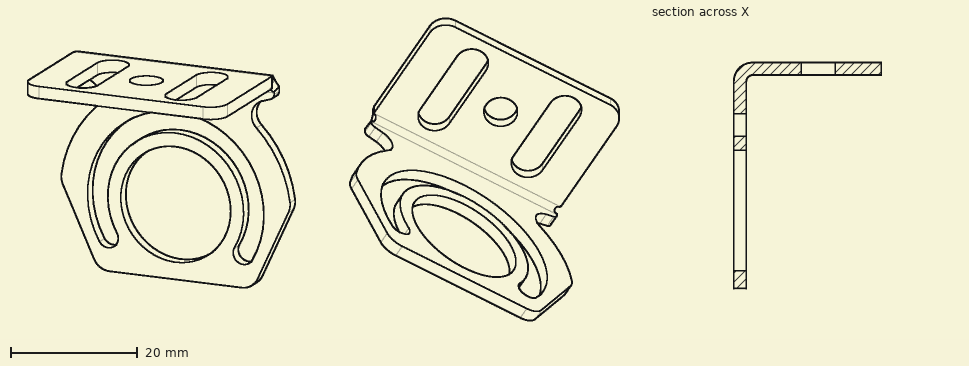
import cadquery as cq
import math

thickness = 2.0
inner_bend_radius = 1.0
outer_bend_radius = inner_bend_radius + thickness
bend_width = 34.1
overall_height = 35.75
overall_depth = 23.3
bottom_z = -12.35
top_z = bottom_z + overall_height
bend_z = top_z - outer_bend_radius
bend_y = -outer_bend_radius

flange_width = 34.3
flange_corner_radius = 2.93
flange_slot_spacing = 17.1
flange_slot_length = 16.75
flange_slot_width = 5.25
flange_slot_y = -13.1
flange_hole_diameter = 5.3
flange_hole_y = -13.4

plate_radius = 19.95
bottom_corner_x = 13.35
side_corner_angle = 5.1
plate_corner_radius = 3.0
notch_radius = 2.7
notch_angle = 45.7
shoulder_slope = 18
shoulder_corner_radius = 1.0

bore_diameter = 19
arc_slot_radius = 13.5
arc_slot_width = 3.5
arc_slot_end_angle = -30

relief_depth = 0.6
relief_half_angle = 35
relief_near = 0.2
relief_far = 3.95
relief_clearance = 0.8


def polar(radius, degrees, center=(0, 0)):
    """Point at a radius and an angle from a center."""
    angle = math.radians(degrees)
    return center[0] + radius * math.cos(angle), center[1] + radius * math.sin(angle)


def mirrored(point):
    return -point[0], point[1]


def plate_prism(outline):
    """Extrude an XZ outline forward from the rear face by the sheet thickness."""
    return outline.extrude(thickness)


def upright_plate():
    half_width = bend_width / 2
    bottom = (bottom_corner_x, bottom_z)
    side = polar(plate_radius, side_corner_angle)
    rim_middle = polar(plate_radius, (side_corner_angle + notch_angle) / 2)
    rim_end = polar(plate_radius, notch_angle)

    notch_center = polar(plate_radius + notch_radius, notch_angle)
    notch_start_angle = 180 + notch_angle
    notch_end_angle = 90 + shoulder_slope
    notch_middle = polar(notch_radius, (notch_start_angle + notch_end_angle) / 2, notch_center)
    notch_end = polar(notch_radius, notch_end_angle, notch_center)
    shoulder_rise = (half_width - notch_end[0]) * math.tan(math.radians(shoulder_slope))
    shoulder = (half_width, notch_end[1] + shoulder_rise)

    outline = (
        cq.Workplane("XZ")
        .moveTo(*mirrored(bottom))
        .lineTo(*bottom)
        .lineTo(*side)
        .threePointArc(rim_middle, rim_end)
        .threePointArc(notch_middle, notch_end)
        .lineTo(*shoulder)
        .lineTo(half_width, bend_z)
        .lineTo(-half_width, bend_z)
        .lineTo(*mirrored(shoulder))
        .lineTo(*mirrored(notch_end))
        .threePointArc(mirrored(notch_middle), mirrored(rim_end))
        .threePointArc(mirrored(rim_middle), mirrored(side))
        .close()
    )
    plate = plate_prism(outline)
    corner_rounds = (
        (bottom, plate_corner_radius),
        (side, plate_corner_radius),
        (shoulder, shoulder_corner_radius),
    )
    for corner, radius in corner_rounds:
        for x, z in (corner, mirrored(corner)):
            edge_point = (x, -thickness / 2, z)
            nearest = cq.selectors.NearestToPointSelector(edge_point)
            plate = plate.edges("|Y").edges(nearest).fillet(radius)
    return plate.cut(ring_openings())


def ring_openings():
    bore = plate_prism(cq.Workplane("XZ").circle(bore_diameter / 2))
    outer_radius = arc_slot_radius + arc_slot_width / 2
    inner_radius = arc_slot_radius - arc_slot_width / 2
    outer_end = polar(outer_radius, arc_slot_end_angle)
    inner_end = polar(inner_radius, arc_slot_end_angle)
    end_center = polar(arc_slot_radius, arc_slot_end_angle)
    cap = polar(arc_slot_width / 2, arc_slot_end_angle - 90, end_center)
    arc_slot = (
        cq.Workplane("XZ")
        .moveTo(*outer_end)
        .threePointArc((0, outer_radius), mirrored(outer_end))
        .threePointArc(mirrored(cap), mirrored(inner_end))
        .threePointArc((0, inner_radius), inner_end)
        .threePointArc(cap, outer_end)
        .close()
    )
    return bore.union(plate_prism(arc_slot))


def flange():
    length = overall_depth - outer_bend_radius
    plate = (
        cq.Workplane("XY", origin=(0, bend_y - length / 2, top_z - thickness / 2))
        .box(flange_width, length, thickness)
        .edges("|Z and <Y")
        .fillet(flange_corner_radius)
    )
    slots = (
        cq.Workplane("XY", origin=(0, flange_slot_y, top_z))
        .rarray(flange_slot_spacing, 0.4, 2, 1)
        .slot2D(flange_slot_length, flange_slot_width, 90)
        .extrude(-thickness)
    )
    hole = (
        cq.Workplane("XY", origin=(0, flange_hole_y, top_z))
        .circle(flange_hole_diameter / 2)
        .extrude(-thickness)
    )
    return plate.cut(slots).cut(hole)


def bend():
    center = (bend_y, bend_z)
    quarter = (
        cq.Workplane("YZ", origin=(-bend_width / 2, 0, 0))
        .moveTo(0, bend_z)
        .threePointArc(polar(outer_bend_radius, 45, center), (bend_y, top_z))
        .lineTo(bend_y, top_z - thickness)
        .threePointArc(polar(inner_bend_radius, 45, center), (-thickness, bend_z))
        .close()
        .extrude(bend_width)
    )
    return quarter.cut(bend_relief(1)).cut(bend_relief(-1))


def bend_relief(side):
    """Cutter fanning out from the bend axis, with the same depth at every radius."""
    edge_x = side * bend_width / 2
    outside_x = edge_x + side * relief_clearance
    bottom_x = edge_x - side * relief_depth
    sections = []
    for distance in (relief_near, relief_far):
        y, z = polar(distance, 45, (bend_y, bend_z))
        plane = cq.Plane(origin=(0, y, z), xDir=(1, 0, 0), normal=(0, 1, 1))
        half_span = distance * math.tan(math.radians(relief_half_angle))
        section = (
            cq.Workplane(plane)
            .moveTo(edge_x, -half_span)
            .threePointArc((bottom_x, 0), (edge_x, half_span))
            .lineTo(outside_x, half_span)
            .lineTo(outside_x, -half_span)
            .close()
        )
        sections.append(section.val())
    return cq.Workplane(cq.Solid.makeLoft(sections, True))


result = upright_plate().union(bend()).union(flange())